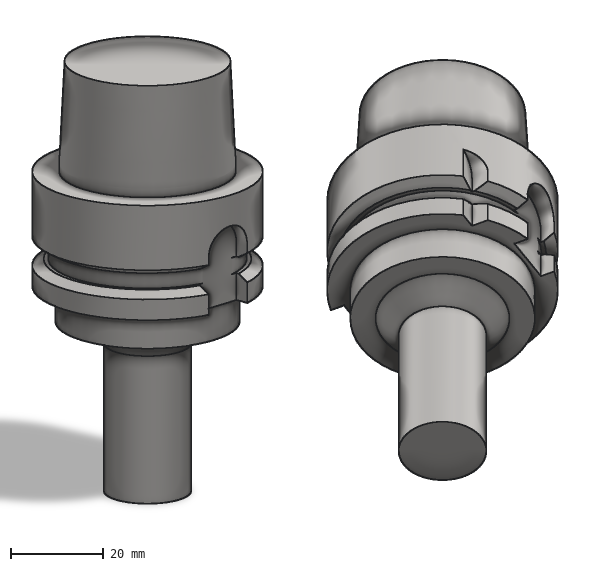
import cadquery as cq
import math

total_height = 97.5
taper_height = 25.0
taper_base_height = 2.0
flange_height = 26.0
collar_height = 8.0
neck_height = 5.0
flange_top = total_height - taper_height
flange_bottom = flange_top - flange_height
collar_bottom = flange_bottom - collar_height
shank_top = collar_bottom - neck_height

shank_diameter = 19.0
collar_diameter = 40.0
flange_diameter = 50.0
groove_diameter = 43.0
taper_base_diameter = 38.3
taper_rate = 1 / 10
cone_height = taper_height - taper_base_height
taper_tip_diameter = taper_base_diameter - taper_rate * cone_height
neck_diameter = shank_diameter + 2 * neck_height

groove_depth_below_face = 18.0
groove_center = flange_top - groove_depth_below_face
groove_floor_width = 3.75
groove_ledge_diameter = 45.0
groove_side_angle = 30.0
groove_side_run = (flange_diameter - groove_ledge_diameter) / 2
groove_side_rise = groove_side_run * math.tan(math.radians(groove_side_angle))
groove_mouth_width = groove_floor_width + 2 * groove_side_rise

drive_slot_width = 12.0
drive_slot_top = 65.5
drive_slot_floor = 21.0

notch_width = 11.0
notch_wall = 15.5
notch_floor = 15.7
notch_center_y = notch_wall + notch_width / 2
notch_top = 65.8


def turned_body():
    """Revolve the half profile of shank, neck, collar, grooved flange and taper about Z."""
    flange_radius = flange_diameter / 2
    groove_radius = groove_diameter / 2
    ledge_radius = groove_ledge_diameter / 2
    profile = [
        (0, 0),
        (shank_diameter / 2, 0),
        (shank_diameter / 2, shank_top),
        (neck_diameter / 2, collar_bottom),
        (collar_diameter / 2, collar_bottom),
        (collar_diameter / 2, flange_bottom),
        (flange_radius, flange_bottom),
        (flange_radius, groove_center - groove_mouth_width / 2),
        (ledge_radius, groove_center - groove_floor_width / 2),
        (groove_radius, groove_center - groove_floor_width / 2),
        (groove_radius, groove_center + groove_floor_width / 2),
        (ledge_radius, groove_center + groove_floor_width / 2),
        (flange_radius, groove_center + groove_mouth_width / 2),
        (flange_radius, flange_top),
        (taper_base_diameter / 2, flange_top),
        (taper_base_diameter / 2, flange_top + taper_base_height),
        (taper_tip_diameter / 2, total_height),
        (0, total_height),
    ]
    return cq.Workplane("XZ").polyline(profile).close().revolve(360, (0, 0), (0, 1))


def round_top_slot(width, top, center_y, floor):
    """Cutter on the -X side: open at the flange bottom, round at the top, ending at x = -floor."""
    radius = width / 2
    return (
        cq.Workplane("YZ", origin=(-floor, center_y, 0))
        .moveTo(-radius, flange_bottom)
        .lineTo(-radius, top - radius)
        .threePointArc((0, top), (radius, top - radius))
        .lineTo(radius, flange_bottom)
        .close()
        .extrude(-flange_diameter / 2)
    )


drive_slot = round_top_slot(drive_slot_width, drive_slot_top, 0, drive_slot_floor)
notch = round_top_slot(notch_width, notch_top, notch_center_y, notch_floor)

result = (
    turned_body()
    .cut(drive_slot)
    .cut(drive_slot.mirror("YZ"))
    .cut(notch)
)